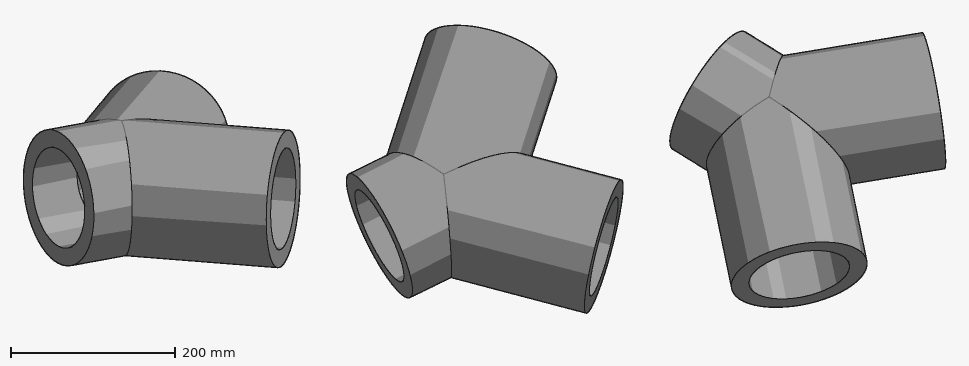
import cadquery as cq
import math

outer_diameter = 168.2
bore_diameter = 124.5
overall_width = 406.5
overall_depth = 292.0
branch_angle = 45.0

outer_radius = outer_diameter / 2
sin_branch = math.sin(math.radians(branch_angle))
cos_branch = math.cos(math.radians(branch_angle))

branch_length = (overall_width / 2 - outer_radius * cos_branch) / sin_branch
branch_reach = branch_length * cos_branch + outer_radius * sin_branch
stem_length = overall_depth - branch_reach

pipes = [
    (cq.Vector(0, -1, 0), stem_length),
    (cq.Vector(-sin_branch, cos_branch, 0), branch_length),
    (cq.Vector(sin_branch, cos_branch, 0), branch_length),
]


def joined_cylinders(diameter):
    """Fuse one cylinder per pipe, all starting at the junction."""
    joined = cq.Workplane("XY")
    for direction, length in pipes:
        cylinder = cq.Solid.makeCylinder(diameter / 2, length, cq.Vector(0, 0, 0), direction)
        joined = joined.add(cylinder)
    return joined.combine()


result = joined_cylinders(outer_diameter).cut(joined_cylinders(bore_diameter))